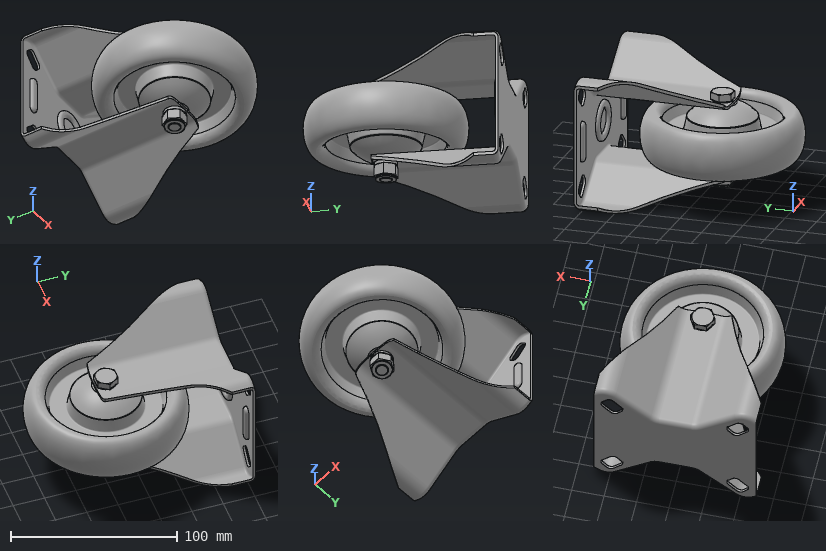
import cadquery as cq
import math


wheel_diameter = 100.0
wheel_radius = wheel_diameter / 2
wheel_half_width = 15.1
tyre_crest_radius = 42.0
tyre_bore_radius = 36.6
tyre_bore_half_width = 9.5
hub_bulge_radius = 39.6
web_half_thickness = 2.7
web_outer_radius = 33.5
web_fillet = 0.9
boss_base_radius = 23.4
boss_top_radius = 21.7
boss_half_height = 11.1
boss_edge_fillet = 1.0

plate_back = 77.9
sheet = 1.7
bracket_width = wheel_diameter
bracket_height = 84.0
leg_span = 43.5
leg_flat_half = 10.0
valley_radius = 7.7
crest_radius = 10.2
crest_x = 42.7
ear_end_angle = math.radians(32)
flange_radius = 1.7
ear_end_y = 62.8
leg_edge_mid = (32.5, 32.0)
leg_end_half = 16.5
leg_corner_y = -6.3
leg_end_y = -7.3

slot_length = 12.8
slot_width = 9.5
slot_corner = 3.0
slot_x = 38.7
slot_z = 28.8
slot_angle = 44.0
bead_height = 2.2
bead_fillet = 1.9
bead_width = 5.9
bead_length = 25.7
bead_x = 39.5
ring_outer_radius = 12.8
ring_inner_radius = 7.9

cap_flat_radius = 8.7
cap_rim_radius = 21.7
cap_dome_radius = 29.4

shank_radius = 4.0
hex_flats = 13.0
hex_corners = hex_flats / math.cos(math.radians(30))
crown_radius = 6.6
crown_slope = math.radians(30)
seat_radius = 6.3
seat_height = 0.8
head_height = 4.7
washer_radius = 7.0
washer_thickness = 2.2
nut_hex_height = 6.8
nut_neck_radius = 5.9
nut_neck_height = 0.8
nut_collar_height = 0.9
bolt_tip_height = 0.4
bolt_tip_radius = 3.5

leg_outer_z = leg_span / 2
leg_inner_z = leg_outer_z - sheet
nut_seat_z = -leg_outer_z - washer_thickness


def axle_hole():
    return cq.Workplane("XY").circle(shank_radius).extrude(bracket_height, both=True)


def leg_half_outline(inset):
    """Points of the right half of the upper sheet surface, middle to end."""
    valley = (leg_flat_half, leg_outer_z + valley_radius)
    crest = (crest_x, bracket_height / 2 - crest_radius)
    run = crest[0] - valley[0]
    rise = crest[1] - valley[1]
    slope = math.atan2(rise, run) + math.asin((valley_radius + crest_radius) / math.hypot(run, rise))
    low_r = valley_radius + inset
    high_r = crest_radius - inset

    def on_valley(angle):
        return (valley[0] + low_r * math.sin(angle), valley[1] - low_r * math.cos(angle))

    def on_crest(angle):
        return (crest[0] + high_r * math.sin(angle), crest[1] + high_r * math.cos(angle))

    ear = on_crest(ear_end_angle)
    end_x = bracket_width / 2
    end_z = ear[1] - math.tan(ear_end_angle) * (end_x - ear[0])
    return [on_valley(0), on_valley(slope / 2), on_valley(slope), on_crest(-slope),
            on_crest((ear_end_angle - slope) / 2), ear, (end_x, end_z)]


def bracket_envelope(inset, end_y, edge_radius):
    """Block bounded by both leg surfaces, with its end at end_y rounded along them."""
    flat, bend_mid, bend_end, crest_start, crest_mid, ear, end = leg_half_outline(inset)
    quarter = (
        cq.Workplane("XZ", origin=(0, end_y, 0))
        .lineTo(0, flat[1])
        .lineTo(*flat)
        .threePointArc(bend_mid, bend_end)
        .lineTo(*crest_start)
        .threePointArc(crest_mid, ear)
        .lineTo(*end)
        .lineTo(end[0], 0)
        .close()
        .extrude(end_y - leg_end_y)
    )
    half = quarter.union(quarter.mirror("YZ"))
    block = half.union(half.mirror("XY")).clean()
    return block.faces(">Y").edges("not |Z").fillet(edge_radius)


def leg_taper():
    """Prism along Z that trims the legs to their tapered outline."""
    half_width = bracket_width / 2
    mid_x, mid_y = leg_edge_mid
    return (
        cq.Workplane("XY", origin=(0, 0, -bracket_height))
        .moveTo(-half_width, plate_back)
        .lineTo(half_width, plate_back)
        .lineTo(half_width, ear_end_y)
        .threePointArc((mid_x, mid_y), (leg_end_half, leg_corner_y))
        .threePointArc((0, leg_end_y), (-leg_end_half, leg_corner_y))
        .threePointArc((-mid_x, mid_y), (-half_width, ear_end_y))
        .close()
        .extrude(2 * bracket_height)
    )


def mounting_slot(side_x, side_z):
    slot = (
        cq.Workplane("XZ", origin=(0, plate_back, 0))
        .rect(slot_length, slot_width)
        .extrude(2 * sheet)
        .edges("|Y")
        .fillet(slot_corner)
    )
    turn = -side_x * side_z * slot_angle
    return slot.rotate((0, 0, 0), (0, 1, 0), turn).translate((side_x * slot_x, 0, side_z * slot_z))


def straight_bead(x):
    return (
        cq.Workplane("XZ", origin=(x, plate_back - sheet, 0))
        .slot2D(bead_length, bead_width, 90)
        .extrude(bead_height)
        .faces("<Y")
        .edges()
        .fillet(bead_fillet)
    )


def round_bead():
    return (
        cq.Workplane("XZ", origin=(0, plate_back - sheet, 0))
        .circle(ring_outer_radius)
        .circle(ring_inner_radius)
        .extrude(bead_height)
        .faces("<Y")
        .edges()
        .fillet(bead_fillet)
    )


def make_bracket():
    inner_y = plate_back - sheet
    body = bracket_envelope(0, plate_back, flange_radius + sheet)
    body = body.cut(bracket_envelope(sheet, inner_y, flange_radius))
    body = body.intersect(leg_taper())
    for side_x in (-1, 1):
        for side_z in (-1, 1):
            body = body.cut(mounting_slot(side_x, side_z))
        body = body.union(straight_bead(side_x * bead_x))
    body = body.union(round_bead())
    return body.cut(axle_hole())


def turn_about_axle(profile):
    """Revolve a profile drawn with radius across and Z up."""
    return profile.revolve(360, (0, 0, 0), (0, 1, 0))


def make_tyre():
    tread_depth = wheel_radius - tyre_crest_radius
    dish_width = tyre_crest_radius - tyre_bore_radius
    dish_depth = wheel_half_width - tyre_bore_half_width
    profile = (
        cq.Workplane("XZ")
        .moveTo(tyre_crest_radius, -wheel_half_width)
        .ellipseArc(tread_depth, wheel_half_width, -90, 90, startAtCurrent=True)
        .ellipseArc(dish_width, dish_depth, 90, 180, startAtCurrent=True)
        .threePointArc((hub_bulge_radius, 0), (tyre_bore_radius, -tyre_bore_half_width))
        .ellipseArc(dish_width, dish_depth, 180, 270, startAtCurrent=True)
        .close()
    )
    return turn_about_axle(profile)


def make_hub():
    rim_inner_radius = web_outer_radius + web_fillet
    web_edge_z = web_half_thickness + web_fillet
    upper_half = (
        cq.Workplane("XZ")
        .moveTo(shank_radius, 0)
        .lineTo(shank_radius, boss_half_height)
        .lineTo(boss_top_radius, boss_half_height)
        .lineTo(boss_base_radius, web_edge_z)
        .radiusArc((boss_base_radius + web_fillet, web_half_thickness), -web_fillet)
        .lineTo(web_outer_radius, web_half_thickness)
        .radiusArc((rim_inner_radius, web_edge_z), -web_fillet)
        .lineTo(tyre_bore_radius, tyre_bore_half_width)
        .lineTo(tyre_bore_radius, 0)
        .close()
    )
    half = turn_about_axle(upper_half)
    outer_edge = cq.selectors.RadiusNthSelector(-1)
    half = half.faces(">Z").edges(outer_edge).fillet(boss_edge_fillet)
    hub = half.union(half.mirror("XY"))
    seat = (
        cq.Workplane("XZ")
        .moveTo(tyre_bore_radius, -tyre_bore_half_width)
        .threePointArc((hub_bulge_radius, 0), (tyre_bore_radius, tyre_bore_half_width))
        .close()
    )
    return hub.union(turn_about_axle(seat))


def make_cap(side):
    """Domed cap between the hub boss and one leg."""
    centre_z = leg_inner_z - math.sqrt(cap_dome_radius**2 - cap_flat_radius**2)
    rim_z = centre_z + math.sqrt(cap_dome_radius**2 - cap_rim_radius**2)
    mid_radius = (cap_flat_radius + cap_rim_radius) / 2
    mid_z = centre_z + math.sqrt(cap_dome_radius**2 - mid_radius**2)
    profile = (
        cq.Workplane("XZ")
        .moveTo(shank_radius, boss_half_height)
        .lineTo(cap_rim_radius, boss_half_height)
        .lineTo(cap_rim_radius, rim_z)
        .threePointArc((mid_radius, mid_z), (cap_flat_radius, leg_inner_z))
        .lineTo(shank_radius, leg_inner_z)
        .close()
    )
    cap = turn_about_axle(profile)
    return cap if side > 0 else cap.mirror("XY")


def make_bolt():
    head_base = leg_outer_z + seat_height
    crown_base_radius = crown_radius + head_height / math.tan(crown_slope)
    nut_end = nut_seat_z - nut_hex_height - nut_neck_height - nut_collar_height
    head = cq.Workplane("XY", origin=(0, 0, head_base)).polygon(6, hex_corners).extrude(head_height)
    crown = (
        cq.Workplane("XY", origin=(0, 0, head_base))
        .circle(crown_base_radius)
        .workplane(offset=head_height)
        .circle(crown_radius)
        .loft()
    )
    seat = cq.Workplane("XY", origin=(0, 0, leg_outer_z)).circle(seat_radius).extrude(seat_height)
    shank = cq.Workplane("XY", origin=(0, 0, nut_end)).circle(shank_radius).extrude(head_base - nut_end)
    tip = (
        cq.Workplane("XY", origin=(0, 0, nut_end))
        .circle(shank_radius)
        .workplane(offset=-bolt_tip_height)
        .circle(bolt_tip_radius)
        .loft()
    )
    return head.intersect(crown).union(seat).union(shank).union(tip)


def make_washer():
    return (
        cq.Workplane("XY", origin=(0, 0, nut_seat_z))
        .circle(washer_radius)
        .circle(shank_radius)
        .extrude(washer_thickness)
    )


def make_nut():
    hexagon = cq.Workplane("XY", origin=(0, 0, nut_seat_z)).polygon(6, hex_corners).extrude(-nut_hex_height)
    neck = hexagon.faces("<Z").workplane().circle(nut_neck_radius).extrude(nut_neck_height)
    nut = neck.faces("<Z").workplane().circle(seat_radius).extrude(nut_collar_height)
    return nut.cut(axle_hole())


bracket = make_bracket()
tyre = make_tyre()
hub = make_hub()
caps = [make_cap(side) for side in (-1, 1)]
bolt = make_bolt()
washer = make_washer()
nut = make_nut()

result = cq.Compound.makeCompound([
    bracket.val(),
    tyre.val(),
    hub.val(),
    *[cap.val() for cap in caps],
    bolt.val(),
    washer.val(),
    nut.val(),
])